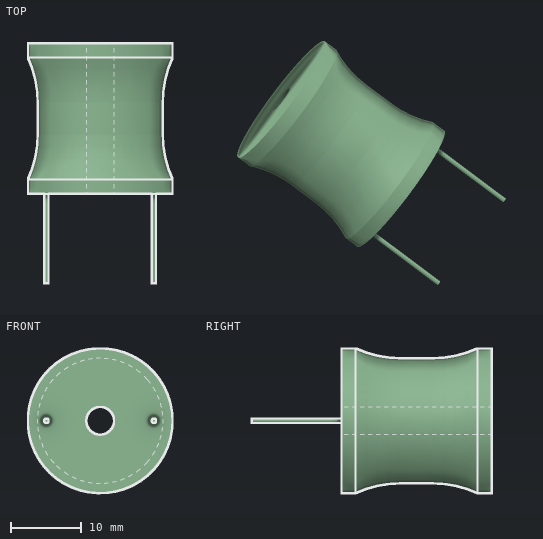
import cadquery as cq
import math

flange_diameter = 20.57
waist_diameter = 17.78
core_length = 21.34
flange_thickness = 2.03
waist_length = 4.57
bore_diameter = 3.9

lead_diameter = 0.65
lead_length = 12.7
lead_spacing = 15.24

flange_radius = flange_diameter / 2
waist_radius = waist_diameter / 2
middle = core_length / 2
waist_start = middle - waist_length / 2
waist_end = middle + waist_length / 2

flare_length = waist_start - flange_thickness
flare_rise = flange_radius - waist_radius
flare_radius = (flare_length**2 + flare_rise**2) / (2 * flare_rise)
half_flare_angle = math.asin(flare_length / flare_radius) / 2
flare_mid_radius = waist_radius + flare_radius * (1 - math.cos(half_flare_angle))
flare_mid_offset = flare_radius * math.sin(half_flare_angle)


def make_core():
    """Flanged, waisted drum with a through bore, revolved about the Y axis."""
    bore_radius = bore_diameter / 2
    profile = (
        cq.Workplane("XY")
        .moveTo(bore_radius, 0)
        .lineTo(flange_radius, 0)
        .lineTo(flange_radius, flange_thickness)
        .threePointArc((flare_mid_radius, waist_start - flare_mid_offset), (waist_radius, waist_start))
        .lineTo(waist_radius, waist_end)
        .threePointArc(
            (flare_mid_radius, waist_end + flare_mid_offset),
            (flange_radius, core_length - flange_thickness),
        )
        .lineTo(flange_radius, core_length)
        .lineTo(bore_radius, core_length)
        .close()
    )
    return profile.revolve(360, (0, 0, 0), (0, 1, 0))


def make_leads():
    """Two straight round leads standing on the seating face."""
    return (
        cq.Workplane("XZ")
        .pushPoints([(-lead_spacing / 2, 0), (lead_spacing / 2, 0)])
        .circle(lead_diameter / 2)
        .extrude(lead_length)
    )


result = make_core().union(make_leads())